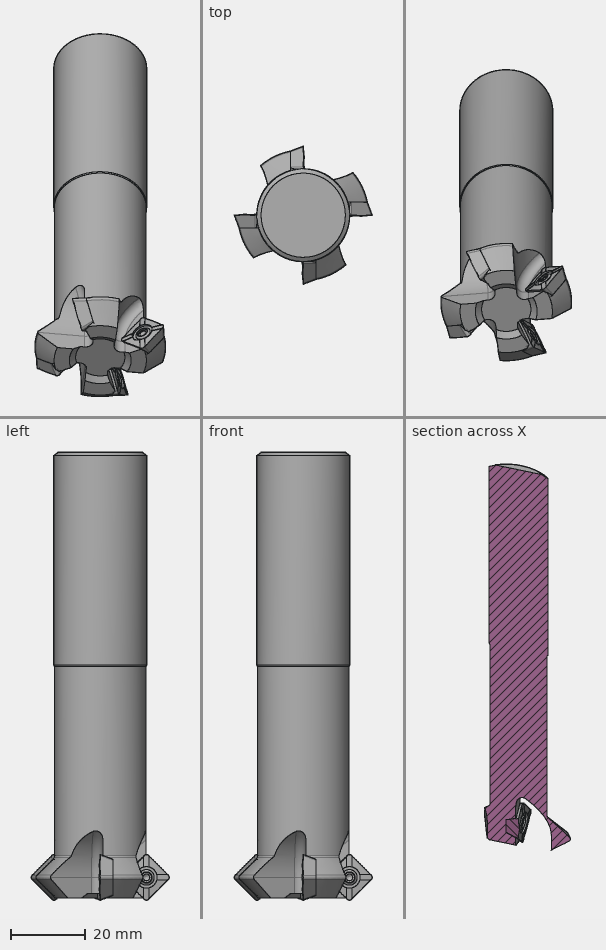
import cadquery as cq
import math


total_length = 120.0
shank_radius = 25.0 / 2
neck_radius = 24.6 / 2
shank_bottom = 63.0
step_height = 0.4
top_chamfer_width = 1.2
top_chamfer_height = 1.0

insert_count = 4
quarter_turn = 360 / insert_count
tip_radius = 18.5
insert_reach = 6.1
insert_thickness = 3.5
relief_angle = 15.0
corner_round = 0.8
face_slope = 6.0

seat_radius = 2.9
seat_depth = 0.6
screw_radius = 4.2 / 2
screw_top_radius = 3.0 / 2
socket_radius = 2.8 / 2
socket_tip_radius = 0.9
screw_height = 0.5
socket_depth = 0.5
socket_tip_depth = 1.1

rib_width = 1.5
rib_height = 0.1

head_bottom = 0.6
rim_sharp_radius = 17.9
rim_round = 0.8
neck_round = 0.7
dish_radius = 8.3
dish_floor_radius = 6.6
dish_depth = 1.2

gullet_angle = 30.0
gullet_floor = 3.2
gullet_runout_radius = 15.1
gullet_wall = 0.7
gullet_round = 2.0
gullet_size = 36.0

insert_x = tip_radius - insert_reach
insert_z = insert_reach
corner_loss = math.sqrt(2) - 1
corner_half_diagonal = insert_reach + corner_loss * corner_round
hub_rise = (insert_reach - seat_radius) * math.tan(math.radians(face_slope))


def revolve_profile(points):
    """Solid of revolution about Z from (radius, height) points."""
    return cq.Workplane("XZ").polyline(points).close().revolve(360, (0, 0, 0), (0, 1, 0))


def circle_at(radius, z):
    """Selector for the circular edge of this radius at this height around Z."""
    margin = 0.1
    low = (-radius - margin, -radius - margin, z - margin)
    high = (radius + margin, radius + margin, z + margin)
    return cq.selectors.BoxSelector(low, high, boundingbox=True)


def around_axis(shape, index):
    return shape.rotate((0, 0, 0), (0, 0, 1), index * quarter_turn)



def make_blank():
    """Square with relieved flanks and rounded corners, from the hub plane down to the back."""
    depth = hub_rise + insert_thickness
    spread = hub_rise * math.tan(math.radians(relief_angle))
    side = math.sqrt(2) * corner_half_diagonal + 2 * spread
    blank = (
        cq.Workplane("XY").workplane(offset=hub_rise).transformed(rotate=(0, 0, 45))
        .rect(side, side).extrude(-depth, taper=relief_angle)
    )
    return blank.edges("not(<Z or >Z)").fillet(corner_round)


def make_face_cone(drop):
    """Everything below the shallow conical face, lowered by drop."""
    outer = 2 * insert_reach
    hub = hub_rise - drop
    rim = hub - (outer - seat_radius) * math.tan(math.radians(face_slope))
    back = -2 * insert_thickness
    return revolve_profile([(0, back), (outer, back), (outer, rim), (seat_radius, hub), (0, hub)])


def make_rib_bars():
    """Cross of two bars reaching past all four corners, tall enough to span the insert."""
    length = 4 * insert_reach
    height = 4 * insert_thickness
    along_x = cq.Workplane("XY").box(length, rib_width, height)
    along_y = cq.Workplane("XY").box(rib_width, length, height)
    return along_x.union(along_y)


def make_screw_shapes():
    """Seat to sink into the face, bevelled screw head to add back, and socket to sink into the head."""
    floor = hub_rise - seat_depth
    crown = floor + screw_height
    seat = revolve_profile([(0, floor), (seat_radius, floor), (seat_radius, hub_rise), (0, hub_rise)])
    head = revolve_profile([(0, floor), (screw_radius, floor), (screw_top_radius, crown), (0, crown)])
    socket = revolve_profile([
        (0, crown),
        (socket_radius, crown),
        (socket_radius, crown - socket_depth),
        (socket_tip_radius, crown - socket_depth),
        (0, crown - socket_tip_depth),
    ])
    return seat, head, socket


def place_insert(shape):
    """Stand the flat shape up at +X, its face turned to -Y."""
    return shape.rotate((0, 0, 0), (1, 0, 0), 90).translate((insert_x, 0, insert_z))


def make_insert():
    seat, head, socket = make_screw_shapes()
    blank = make_blank()
    ribs = blank.intersect(make_face_cone(0)).intersect(make_rib_bars())
    insert = blank.intersect(make_face_cone(rib_height)).union(ribs)
    return place_insert(insert.cut(seat).union(head).cut(socket))



def make_holder_blank():
    """Turned holder: shank, neck and double-cone head with a dished end."""
    rim_z = insert_z
    bottom_radius = rim_sharp_radius - (rim_z - head_bottom)
    neck_bottom = rim_z + rim_sharp_radius - neck_radius
    blank = revolve_profile([
        (0, head_bottom + dish_depth),
        (dish_floor_radius, head_bottom + dish_depth),
        (dish_radius, head_bottom),
        (bottom_radius, head_bottom),
        (rim_sharp_radius, rim_z),
        (neck_radius, neck_bottom),
        (neck_radius, shank_bottom - step_height),
        (shank_radius, shank_bottom),
        (shank_radius, total_length - top_chamfer_height),
        (shank_radius - top_chamfer_width, total_length),
        (0, total_length),
    ])
    blank = blank.edges(circle_at(rim_sharp_radius, rim_z)).fillet(rim_round)
    return blank.edges(circle_at(neck_radius, neck_bottom)).fillet(neck_round)


def make_gullet():
    """Flat floor that sweeps outwards in an arc above the rim, with a rounded corner at the wall."""
    r = gullet_runout_radius
    mid = math.radians(45)
    arc_mid = (gullet_floor + r * (1 - math.cos(mid)), insert_z + r * math.sin(mid))
    swept = (
        cq.Workplane("XZ")
        .moveTo(gullet_floor, -gullet_size)
        .lineTo(gullet_floor, insert_z)
        .threePointArc(arc_mid, (gullet_floor + r, insert_z + r))
        .lineTo(gullet_size, insert_z + r)
        .lineTo(gullet_size, -gullet_size)
        .close()
        .extrude(gullet_size, both=True)
        .rotate((0, 0, 0), (0, 0, 1), gullet_angle)
    )
    open_side = cq.Workplane("XY").box(4 * gullet_size, 4 * gullet_size, 4 * gullet_size)
    open_side = open_side.translate((0, gullet_wall - 2 * gullet_size, 0))
    return swept.intersect(open_side).faces(">Y").edges().fillet(gullet_round)


def make_holder():
    holder = make_holder_blank()
    gullet = make_gullet()
    pocket = place_insert(make_blank())
    for index in range(insert_count):
        holder = holder.cut(around_axis(gullet, index))
        holder = holder.cut(around_axis(pocket, index))
    return holder


holder = make_holder()
insert = make_insert()
inserts = [around_axis(insert, index) for index in range(insert_count)]

result = cq.Compound.makeCompound([holder.val(), *[item.val() for item in inserts]])